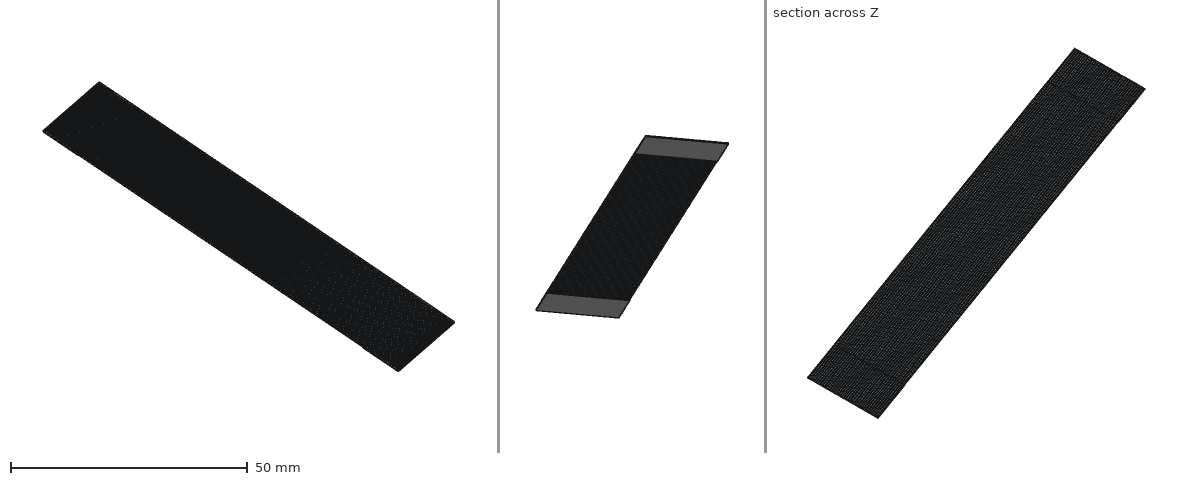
import cadquery as cq


CABLE_LENGTH = 100.0
CHANNEL_PITCH = 0.5
CHANNEL_COUNT = 35
CHANNEL_WIDTH = 0.3
CABLE_WIDTH = (CHANNEL_COUNT + 1) * CHANNEL_PITCH
CONTACT_LENGTH = 5.0
STIFFENER_LENGTH = 2 * CONTACT_LENGTH

STIFFENER_THICKNESS = 0.22
FILM_THICKNESS = 0.05
CHANNEL_HEIGHT = 0.04

CHANNEL_BOTTOM = STIFFENER_THICKNESS + FILM_THICKNESS
CHANNEL_TOP = CHANNEL_BOTTOM + CHANNEL_HEIGHT


def layer(length, bottom, thickness, center_x=0.0):
    """Full-width slab centred on center_x with its underside at bottom."""
    slab = cq.Workplane("XY").box(length, CABLE_WIDTH, thickness, centered=(True, True, False))
    return slab.translate((center_x, 0, bottom))


def insulation():
    """Base layer over the full length, with a cover film between the contact areas."""
    base = layer(CABLE_LENGTH, STIFFENER_THICKNESS, CHANNEL_TOP - STIFFENER_THICKNESS)
    cover = layer(CABLE_LENGTH - 2 * CONTACT_LENGTH, CHANNEL_TOP, FILM_THICKNESS)
    return base.union(cover)


def stiffener(side):
    """Backing plate under one end; side is -1 or 1 along X."""
    center_x = side * (CABLE_LENGTH - STIFFENER_LENGTH) / 2
    return layer(STIFFENER_LENGTH, 0, STIFFENER_THICKNESS, center_x)


def conductor_channels():
    """Row of channels: closed under the cover film, open grooves at the contacts."""
    return (
        cq.Workplane("XY")
        .workplane(offset=CHANNEL_BOTTOM)
        .rarray(CABLE_LENGTH, CHANNEL_PITCH, 1, CHANNEL_COUNT)
        .rect(CABLE_LENGTH, CHANNEL_WIDTH)
        .extrude(CHANNEL_HEIGHT)
    )


cable = insulation()
for end_side in (-1, 1):
    cable = cable.union(stiffener(end_side))

result = cable.cut(conductor_channels())